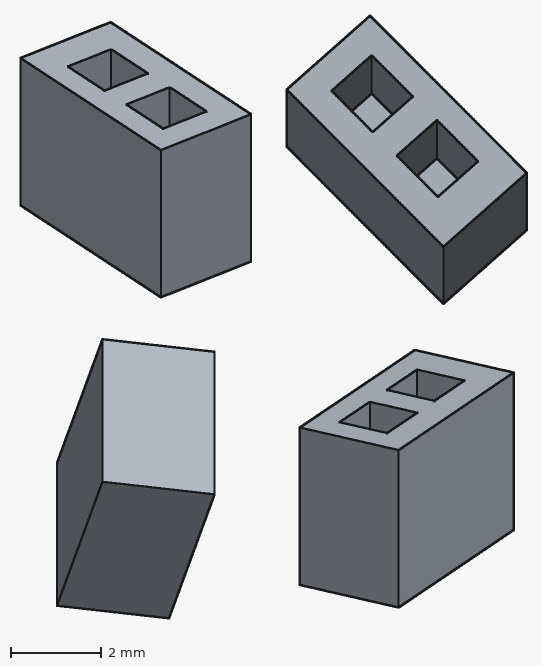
import cadquery as cq

length = 5.08
width = 2.54
height = 3.8

socket_length = 1.33
socket_width = 1.22
socket_depth = 2.54
left_socket_corner = (0.94, 0.605)
right_socket_corner = (3.045, 0.615)


def socket(corner):
    """Cutting box for a socket, placed by its lowest X and Y corner."""
    x, y = corner
    box = cq.Workplane("XY").box(socket_length, socket_width, socket_depth, centered=False)
    return box.translate((x, y, height - socket_depth))


result = cq.Workplane("XY").box(length, width, height, centered=False)
for socket_corner in (left_socket_corner, right_socket_corner):
    result = result.cut(socket(socket_corner))